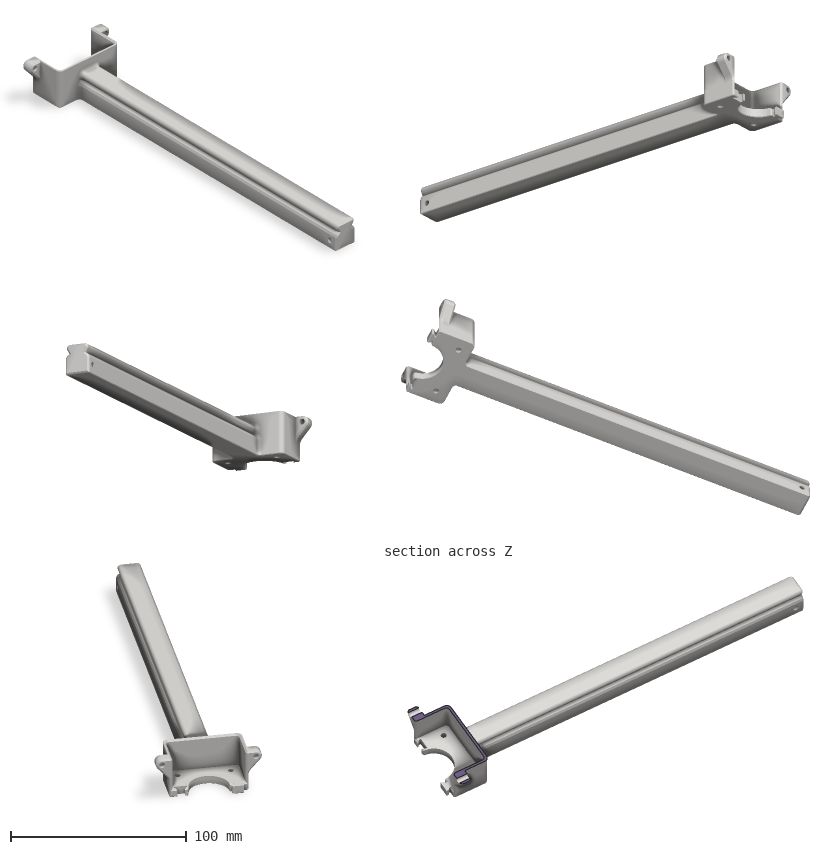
import cadquery as cq
import math

cup_length = 23.0
cup_width = 46.0
cup_height = 25.0
wall = 1.75
floor_thickness = 5.0
cup_corner_radius = 3.0
cup_inner_radius = 2.0
front_chamfer = 0.7
rim_outer_chamfer = 0.4
rim_inner_chamfer = 1.0
base_chamfer = 0.4
half_width = cup_width / 2

bore_radius = 11.8
bore_mouth_chamfer = 0.6
screw_diameter = 3.4
floor_screw_x = 15.5
floor_screw_y = 15.5

dovetail_y = 16.25
dovetail_depth = 3.0
dovetail_root_land = 0.4
dovetail_tip_land = 1.2
tongue_root_width = 4.0
tongue_tip_width = 6.8
socket_clearance = 0.3

ear_thickness = 7.0
ear_radius = 3.5
ear_span = 61.5
ear_y = ear_span / 2 - ear_radius
ear_z = cup_height - ear_radius
ear_foot_z = 11.4
ear_foot_radius = 5.0
ear_chamfer = 1.0
ear_inner_y = half_width - front_chamfer

arm_end_x = 240.0
arm_half_width = 7.5
arm_height = 17.5
head_flat_half = 4.7
head_radius = 2.0
head_undercut_angle = 27.0
groove_top = (5.1, 12.2)
groove_bottom = (6.8, 11.0)
base_top_z = 9.4
arm_root_fillet = 2.2
arm_end_chamfer = 1.0
arm_screw_inset = 5.5
arm_screw_z = 5.5


def make_tray():
    """Floor, back wall and two side walls with chamfered rims."""
    block = (
        cq.Workplane("XY")
        .box(cup_length, cup_width, cup_height, centered=(False, True, False))
        .edges("|Z and >X")
        .fillet(cup_corner_radius)
        .edges("|Z and <X")
        .chamfer(front_chamfer)
        .faces(">Z")
        .edges("not <X")
        .chamfer(rim_outer_chamfer)
    )
    inner_half = half_width - wall
    pocket = (
        cq.Workplane("XY", origin=(0, 0, floor_thickness))
        .box(cup_length - wall, 2 * inner_half, cup_height, centered=(False, True, False))
        .edges("|Z and >X")
        .fillet(cup_inner_radius)
    )
    pocket_edges = cq.selectors.BoxSelector(
        (-wall, -half_width + wall / 2, floor_thickness / 2),
        (cup_length - wall / 2, half_width - wall / 2, cup_height + wall),
        boundingbox=True,
    )
    return block.cut(pocket).faces(">Z or <X").edges(pocket_edges).chamfer(rim_inner_chamfer)


def dovetail(tip_x, center_y, clearance):
    """Dovetail prism from the front edge (x = 0) to tip_x, wide at the tip."""
    root = tongue_root_width / 2 + clearance
    tip = tongue_tip_width / 2 + clearance
    direction = math.copysign(1, tip_x)
    buried_x = -direction * rim_inner_chamfer
    root_x = direction * dovetail_root_land
    shoulder_x = tip_x - direction * dovetail_tip_land
    half_outline = [(buried_x, root), (root_x, root), (shoulder_x, tip), (tip_x, tip)]
    other_half = [(x, -y) for x, y in reversed(half_outline)]
    return (
        cq.Workplane("XY")
        .center(0, center_y)
        .polyline(half_outline + other_half)
        .close()
        .extrude(floor_thickness)
    )


def make_ear():
    """Screw ear on the +Y wall: round end, sloped underside, filleted foot."""
    foot_distance = math.hypot(ear_y - half_width, ear_z - ear_foot_z)
    foot_angle = math.atan2(ear_foot_z - ear_z, half_width - ear_y)
    tangent_angle = foot_angle + math.acos(ear_radius / foot_distance)

    def on_rim(angle):
        return (ear_y + ear_radius * math.cos(angle), ear_z + ear_radius * math.sin(angle))

    buried_y = half_width - 2 * wall
    ear = (
        cq.Workplane("YZ")
        .moveTo(buried_y, cup_height)
        .lineTo(ear_y, cup_height)
        .threePointArc(on_rim(0), on_rim(tangent_angle))
        .lineTo(half_width, ear_foot_z)
        .lineTo(half_width, floor_thickness)
        .lineTo(buried_y, floor_thickness)
        .close()
        .extrude(ear_thickness)
    )
    foot = cq.selectors.NearestToPointSelector((ear_thickness / 2, half_width, ear_foot_z))
    ear = ear.edges(foot).fillet(ear_foot_radius)
    ear = ear.faces("<X or >X").chamfer(ear_chamfer)
    outside = cq.Workplane("XY").box(
        ear_thickness, ear_span, 2 * cup_height, centered=(False, False, True)
    )
    return ear.intersect(outside.translate((0, ear_inner_y, 0)))


def arm_section(start_x, offset=0.0):
    """Arm outline in a YZ plane, grown (or shrunk) all round by an offset."""
    angle = math.radians(head_undercut_angle)
    head_z = arm_height - head_radius
    under_head = (
        head_flat_half + head_radius * math.cos(angle),
        head_z - head_radius * math.sin(angle),
    )
    head_side = (head_flat_half + head_radius, head_z)
    head_top = (head_flat_half, arm_height)

    def flip(point):
        return (-point[0], point[1])

    base_corner = (arm_half_width, base_top_z)
    section = (
        cq.Workplane("YZ", origin=(start_x, 0, 0))
        .moveTo(-arm_half_width, 0)
        .lineTo(arm_half_width, 0)
        .lineTo(*base_corner)
        .lineTo(*groove_bottom)
        .lineTo(*groove_top)
        .lineTo(*under_head)
        .threePointArc(head_side, head_top)
        .lineTo(*flip(head_top))
        .threePointArc(flip(head_side), flip(under_head))
        .lineTo(*flip(groove_top))
        .lineTo(*flip(groove_bottom))
        .lineTo(*flip(base_corner))
        .close()
    )
    return section.offset2D(offset, "intersection") if offset else section


def arm_taper(start_x, start_offset, end_x, end_offset):
    """Stretch of arm whose outline changes evenly between two offsets."""
    start = arm_section(start_x, start_offset).wires().val()
    end = arm_section(end_x, end_offset).wires().val()
    return cq.Workplane(cq.Solid.makeLoft([start, end], True))


def make_arm():
    """Rail along X, chamfered all round at its free end."""
    root_x = cup_length - wall / 2
    chamfer_x = arm_end_x - arm_end_chamfer
    arm = arm_section(root_x).extrude(chamfer_x - root_x)
    return arm.union(arm_taper(chamfer_x, 0, arm_end_x, -arm_end_chamfer))


def fillet_arm_root(body):
    """Fillet the corner where the arm leaves the back of the cup."""
    margin = base_chamfer
    root_edges = cq.selectors.BoxSelector(
        (cup_length - margin, -arm_half_width - margin, -margin),
        (cup_length + margin, arm_half_width + margin, arm_height + margin),
        boundingbox=True,
    )
    return body.edges(root_edges).fillet(arm_root_fillet)


def cut_bore(body):
    """Half-round opening in the floor, chamfered where it meets the front edge."""
    body = body.cut(cq.Workplane("XY").circle(bore_radius).extrude(floor_thickness))
    for side in (1, -1):
        mouth = cq.selectors.NearestToPointSelector((0, side * bore_radius, floor_thickness / 2))
        body = body.edges("|Z").edges(mouth).chamfer(bore_mouth_chamfer)
    return body


def screw_hole(plane, origin, depth):
    """Cylinder that cuts one screw hole, starting at origin."""
    return cq.Workplane(plane, origin=origin).circle(screw_diameter / 2).extrude(depth)


def drill_screw_holes(body):
    """Holes through the floor, the ears and the free end of the arm."""
    for side in (1, -1):
        floor_origin = (floor_screw_x, side * floor_screw_y, 0)
        ear_origin = (0, side * ear_y, ear_z)
        body = body.cut(screw_hole("XY", floor_origin, floor_thickness))
        body = body.cut(screw_hole("YZ", ear_origin, ear_thickness))
    arm_origin = (arm_end_x - arm_screw_inset, arm_half_width, arm_screw_z)
    return body.cut(screw_hole("XZ", arm_origin, 2 * arm_half_width))


result = fillet_arm_root(make_tray().union(make_arm()))
result = cut_bore(result.union(dovetail(-dovetail_depth, -dovetail_y, 0)))
result = result.faces("<Z").edges().chamfer(base_chamfer)
result = result.cut(dovetail(dovetail_depth, dovetail_y, socket_clearance))

ear = make_ear()
result = result.union(ear).union(ear.mirror("XZ"))
result = drill_screw_holes(result)